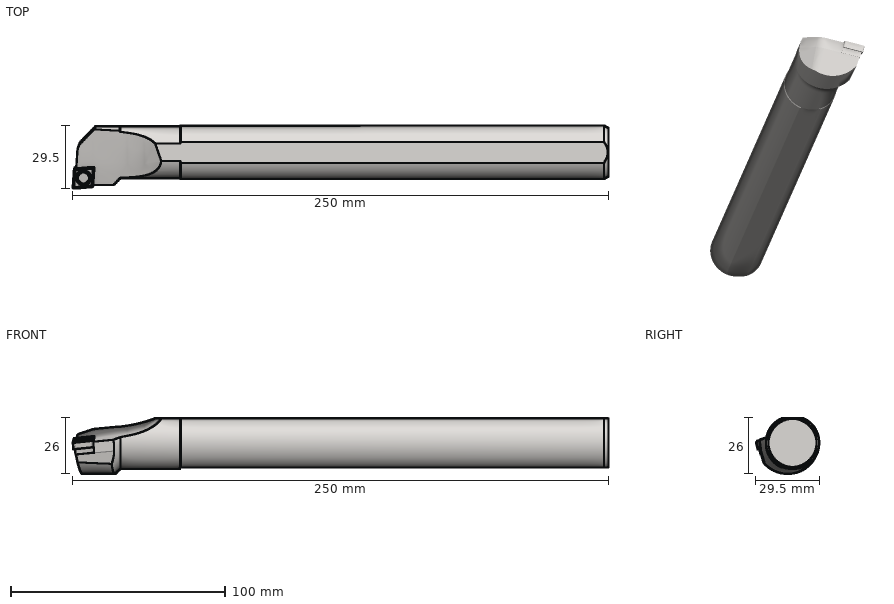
import cadquery as cq
import math


bar_length = 250.0
shank_diameter = 25.0
flat_height = 11.5
neck_diameter = 24.4
neck_start = 22.2
neck_end = 50.0
neck_step_length = 0.5
end_chamfer_length = 2.2
end_chamfer_depth = 1.27
shank_radius = shank_diameter / 2
neck_radius = neck_diameter / 2

head_radius = 14.5
head_offset = 2.25
cone_rise = 8.0

insert_circle = 9.525
insert_angle = 80.0
insert_thickness = 3.18
nose_radius = 0.8
groove_margin = 0.7
groove_depth = 0.3
pad_top_diameter = 5.3
pad_base_diameter = 7.0
seat_setback = 0.8

nose_reach = 17.0
lead_angle = 5.0
rise_along_x = 0.0875
rise_along_y = 0.23

front_setback = 0.95
bevel_angle = 44.0
bevel_corner = 20.3
front_corner_radius = 6.0
land_depth = 5.9
front_clearance = 6.0

side_reach = 15.45
side_land_lean = 8.0
side_clearance = 16.0

rake_drop = 0.7
runout_length = 46.8
runout_rise = 9.0
runout_degree = 5

clear = 60.0

bisector = lead_angle + insert_angle / 2
half_angle = math.radians(insert_angle / 2)
nose_loss = nose_radius * (math.sin(math.radians(bisector)) / math.sin(half_angle) - 1)

top_face = cq.Plane(
    origin=(-nose_loss, -nose_reach - nose_loss, 0),
    xDir=(1, 0, rise_along_x),
    normal=(-rise_along_x, -rise_along_y, 1),
)


def polar(length, angle):
    direction = math.radians(angle)
    return cq.Vector(length * math.cos(direction), length * math.sin(direction))


def rhombus(depth, circle, corner_distance, thickness):
    """Rhombic plate around a given inscribed circle, below a depth under the top face."""
    side = circle / math.sin(math.radians(insert_angle))
    corner = polar(corner_distance, bisector)
    right = corner + polar(side, lead_angle)
    left = corner + polar(side, lead_angle + insert_angle)
    opposite = right + left - corner
    points = [(p.x, p.y) for p in (corner, right, opposite, left)]
    return cq.Workplane(top_face).workplane(offset=-depth).polyline(points).close().extrude(-thickness)


def insert_plate(thickness):
    upright = cq.selectors.ParallelDirSelector(top_face.zDir)
    return rhombus(0, insert_circle, 0, thickness).edges(upright).fillet(nose_radius)


def make_insert():
    groove_circle = insert_circle - 2 * groove_margin
    groove = rhombus(0, groove_circle, groove_margin / math.sin(half_angle), groove_depth)
    centre = polar(insert_circle / 2 / math.sin(half_angle), bisector)
    pad = (
        cq.Workplane(top_face)
        .center(centre.x, centre.y)
        .circle(pad_top_diameter / 2)
        .workplane(offset=-groove_depth)
        .circle(pad_base_diameter / 2)
        .loft()
    )
    return insert_plate(insert_thickness).cut(groove.cut(pad))


def revolved(profile):
    return cq.Workplane("XY").polyline(profile).close().revolve(360, (0, 0, 0), (1, 0, 0))


def make_shank():
    shank = revolved([
        (neck_start, 0),
        (neck_start, neck_radius),
        (neck_end, neck_radius),
        (neck_end + neck_step_length, shank_radius),
        (bar_length - end_chamfer_length, shank_radius),
        (bar_length, shank_radius - end_chamfer_depth),
        (bar_length, 0),
    ])
    for start, side in ((neck_start, 1), (neck_end, -1)):
        above_flat = (
            cq.Workplane("XY", origin=(start, 0, side * flat_height))
            .rect(bar_length, clear, centered=(False, True))
            .extrude(side * clear)
        )
        shank = shank.cut(above_flat)
    return shank


def front_outline(plane, side):
    """Area behind the front edge and the bevel; side is -1 on a plane whose Y points to -Y."""
    turn = math.radians(bevel_angle - lead_angle) / 2
    corner = polar(bevel_corner, 90 - lead_angle) + cq.Vector(front_setback, 0)
    tangent_length = front_corner_radius * math.tan(turn)
    arc_gap = front_corner_radius / math.cos(turn) - front_corner_radius
    front_end = corner - polar(tangent_length, 90 - lead_angle)
    arc_middle = corner + polar(arc_gap, -(lead_angle + bevel_angle) / 2)
    bevel_start = corner + polar(tangent_length, 90 - bevel_angle)
    front_start = corner - polar(clear, 90 - lead_angle)
    bevel_end = corner + polar(clear, 90 - bevel_angle)
    return (
        cq.Workplane(plane)
        .moveTo(front_start.x, side * front_start.y)
        .lineTo(front_end.x, side * front_end.y)
        .threePointArc((arc_middle.x, side * arc_middle.y), (bevel_start.x, side * bevel_start.y))
        .lineTo(bevel_end.x, side * bevel_end.y)
        .lineTo(2 * clear, side * bevel_end.y)
        .lineTo(2 * clear, side * front_start.y)
        .close()
    )


def make_head():
    cone = revolved([
        (-clear, 0),
        (-clear, neck_radius + cone_rise),
        (neck_start - cone_rise, neck_radius + cone_rise),
        (neck_start, neck_radius),
        (neck_start, 0),
    ])
    cylinder = (
        cq.Workplane("YZ", origin=(neck_start, -head_offset, 0))
        .circle(head_radius)
        .extrude(-neck_start)
    )
    blank = cylinder.intersect(cone).cut(side_cutter())
    land_bottom = top_face.toWorldCoords((0, 0, -land_depth))
    upward = cq.Plane(land_bottom, top_face.xDir, top_face.zDir)
    downward = cq.Plane(land_bottom, top_face.xDir, -top_face.zDir)
    land = front_outline(upward, 1).extrude(clear)
    clearance = front_outline(downward, -1).extrude(2 * head_radius, taper=front_clearance)
    return blank.intersect(land).union(blank.intersect(clearance))


def side_cutter():
    """Everything outside the side land and its clearance face, running along the top face's X."""
    across = cq.Plane(top_face.origin, top_face.yDir, top_face.xDir)
    rake_angle = math.degrees(math.atan(rise_along_y))
    land_top = (nose_reach + nose_loss - side_reach) / math.cos(math.radians(rake_angle))
    land_lean = math.tan(math.radians(side_land_lean - rake_angle))
    clearance_lean = math.tan(math.radians(side_clearance - rake_angle))
    land_top_y = land_top - clear * land_lean
    land_bottom_y = land_top + land_depth * land_lean
    clearance_end_y = land_bottom_y + clear * clearance_lean
    return (
        cq.Workplane(across)
        .polyline([
            (land_top_y, clear),
            (land_bottom_y, -land_depth),
            (clearance_end_y, -land_depth - clear),
            (-clear, -land_depth - clear),
            (-clear, clear),
        ])
        .close()
        .extrude(clear, both=True)
    )


def rake_cutter():
    """Everything above the rake face; equally spaced curve points make its rise a pure power."""
    along = cq.Plane(top_face.origin, top_face.xDir, -top_face.yDir)
    start = -nose_radius
    spacing = (runout_length - start) / runout_degree
    curve = [(start + i * spacing, -rake_drop) for i in range(runout_degree)]
    curve.append((runout_length, runout_rise - rake_drop))
    return (
        cq.Workplane(along)
        .bezier(curve)
        .lineTo(runout_length, clear)
        .lineTo(start, clear)
        .close()
        .extrude(clear, both=True)
    )


def make_seat():
    """Block under the insert, sharing the insert's inner corner."""
    seat_circle = insert_circle - seat_setback
    corner_shift = seat_setback / math.sin(half_angle)
    return rhombus(insert_thickness, seat_circle, corner_shift, land_depth - insert_thickness)


def make_bar():
    bar = make_head().union(make_shank()).cut(rake_cutter())
    return bar.cut(insert_plate(land_depth)).union(make_seat())


bar = make_bar()
insert = make_insert()
result = cq.Compound.makeCompound([bar.val(), insert.val()])